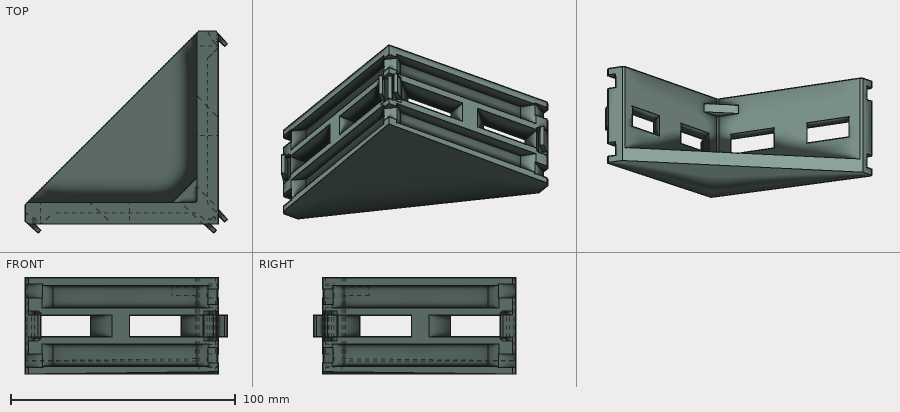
import cadquery as cq
import math


leg_length = 86.0
height = 43.0
mid_height = height / 2
wall = 9.5
end_face = 8.6
diagonal_reach = leg_length + end_face
slant_angle = 42.0
slant = math.tan(math.radians(slant_angle))
end_chamfer = 1.25
end_chamfer_length = end_chamfer / slant

web_thickness = 6.0
web_tilt_angle = 1.0
web_tilt = math.tan(math.radians(web_tilt_angle))
inner_corner_chamfer = 0.8
gusset_leg = 11.2
gusset_bottom = 35.0
gusset_thickness = 3.8

window_height = 9.7
window_inner_height = 9.2
window_edges = ((39.5, 16.6), (79.2, 57.0))
window_slant_run = 9.7

pocket_offset = 13.0
pocket_height = 10.0
pocket_floor_height = 9.4
pocket_depth = 4.9
pocket_far = 78.6
pocket_near = 4.1
pocket_corner_cut = 5.3
pocket_corner_cut_height = 7.0

notch_offset = 15.5
notch_height = 6.2
notch_depth = 5.1
notch_run = 8.0

tab_height = window_height
tab_reach = 3.98
tab_tip = 1.2
far_tab_start = leg_length - end_chamfer_length
near_tab_start = 6.5
relief_height = 13.4
far_relief_depth = 2.8
near_relief_depth = 2.55
far_relief_bevel = 1.0
relief_corner_cut = 3.6

margin = 1.0


def prism(points, bottom, top):
    """Vertical prism on a plan outline."""
    return cq.Workplane("XY").workplane(offset=bottom).polyline(points).close().extrude(top - bottom)


def centred_prism(points, z_centre, total_height):
    return prism(points, z_centre - total_height / 2, z_centre + total_height / 2)


def on_both_legs(solid):
    """The solid together with its mirror image about the plane y = -x."""
    twin = solid.mirror("YZ").rotate((0, 0, 0), (0, 0, 1), 90)
    return solid.union(twin)


def tapered_bar(z_centre, outer_height, inner_height, depth):
    """Bar along X that narrows from outer_height at y = 0 to inner_height at y = depth."""
    profile = [
        (0, z_centre - outer_height / 2),
        (depth, z_centre - inner_height / 2),
        (depth, z_centre + inner_height / 2),
        (0, z_centre + outer_height / 2),
    ]
    return cq.Workplane("YZ").polyline(profile).close().extrude(-leg_length)


def below_tilted_plane(z_at_edge):
    """Space under a plane rising from the diagonal edge towards the outer corner."""
    run = diagonal_reach
    half_edge = diagonal_reach / 2
    edge_plane = cq.Plane(origin=(-half_edge, half_edge, 0), xDir=(1, -1, 0), normal=(-1, -1, 0))
    profile = [
        (-run, z_at_edge - run * web_tilt),
        (run, z_at_edge + run * web_tilt),
        (run, -height),
        (-run, -height),
    ]
    return cq.Workplane(edge_plane).polyline(profile).close().extrude(diagonal_reach, both=True)


def make_body():
    outline = [
        (0, 0),
        (0, leg_length - end_chamfer_length),
        (-end_chamfer, leg_length),
        (-end_face, leg_length),
        (-leg_length, end_face),
        (-leg_length, end_chamfer),
        (-leg_length + end_chamfer_length, 0),
    ]
    cavity_outline = [
        (-wall - inner_corner_chamfer, wall),
        (-wall, wall + inner_corner_chamfer),
        (-wall, diagonal_reach),
        (-diagonal_reach, diagonal_reach),
        (-diagonal_reach, wall),
    ]
    cavity = prism(cavity_outline, 0, height + margin).cut(below_tilted_plane(web_thickness))
    return prism(outline, 0, height).cut(below_tilted_plane(0)).cut(cavity)


def make_gusset():
    outline = [
        (-wall, wall),
        (-wall, wall + gusset_leg),
        (-wall - gusset_leg, wall),
    ]
    return prism(outline, gusset_bottom, gusset_bottom + gusset_thickness)


def make_window(far_edge, near_edge):
    outline = [
        (-far_edge, 0),
        (-far_edge, wall),
        (-near_edge, wall),
        (-near_edge + window_slant_run, 0),
    ]
    bar = tapered_bar(mid_height, window_height, window_inner_height, wall)
    return prism(outline, 0, height).intersect(bar)


def make_pocket(z_centre):
    outline = [
        (-pocket_far, 0),
        (-pocket_far + pocket_depth, pocket_depth),
        (-pocket_near - pocket_depth / slant, pocket_depth),
        (-pocket_near, 0),
    ]
    bar = tapered_bar(z_centre, pocket_height, pocket_floor_height, pocket_depth)
    return prism(outline, 0, height).intersect(bar)


def make_corner_cut(leg, z_centre, cut_height):
    return centred_prism([(0, 0), (0, leg), (-leg, 0)], z_centre, cut_height)


def make_notch(z_centre):
    outline = [
        (-leg_length, 0),
        (-leg_length, notch_depth),
        (-leg_length + notch_run, 0),
    ]
    return centred_prism(outline, z_centre, notch_height)


def make_tab(start):
    """Clip tab leaning towards the outer corner, rooted on the relief floor."""
    tip_x = -start + tab_reach / slant
    inner_x = tip_x + tab_tip
    inner_y = -tab_reach + tab_tip
    root_run = (inner_x - inner_y + start) / 2
    outline = [
        (-start, 0),
        (tip_x, -tab_reach),
        (inner_x, inner_y),
        (inner_x - root_run, inner_y + root_run),
    ]
    return centred_prism(outline, mid_height, tab_height)


def make_relief(start, depth):
    """V-shaped relief with 45 degree walls in the outer face behind a tab."""
    outline = [
        (-start, 0),
        (-start + depth, depth),
        (-start + 2 * depth, 0),
    ]
    return centred_prism(outline, mid_height, relief_height)


def make_far_relief():
    """Relief at the far end, bevelled where its rear wall meets its ends."""
    rear_wall_edges = cq.selectors.ParallelDirSelector(cq.Vector(1, -1, 0))
    return make_relief(far_tab_start, far_relief_depth).edges(rear_wall_edges).chamfer(far_relief_bevel)


result = make_body().union(make_gusset())

for far_edge, near_edge in window_edges:
    result = result.cut(on_both_legs(make_window(far_edge, near_edge)))

for side in (-1, 1):
    pocket_z = mid_height + side * pocket_offset
    result = result.cut(on_both_legs(make_pocket(pocket_z)))
    result = result.cut(make_corner_cut(pocket_corner_cut, pocket_z, pocket_corner_cut_height))
    result = result.cut(on_both_legs(make_notch(mid_height + side * notch_offset)))

result = result.cut(make_corner_cut(relief_corner_cut, mid_height, relief_height))
result = result.cut(on_both_legs(make_relief(near_tab_start, near_relief_depth)))
result = result.cut(on_both_legs(make_far_relief()))
for start in (near_tab_start, far_tab_start):
    result = result.union(on_both_legs(make_tab(start)))